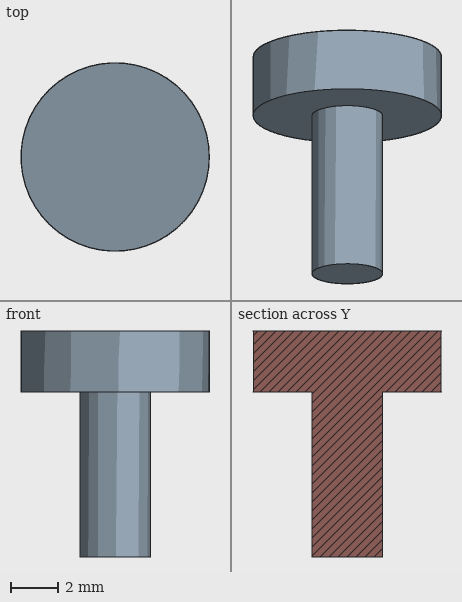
import cadquery as cq

HEAD_DIAMETER = 8.0
HEAD_HEIGHT = 2.6
SHANK_DIAMETER = 3.0
SHANK_LENGTH = 7.0


def make_shank():
    """Plain cylindrical shank standing on the XY plane."""
    return cq.Workplane("XY").circle(SHANK_DIAMETER / 2).extrude(SHANK_LENGTH)


def make_head():
    """Flat disc head sitting on top of the shank."""
    return (
        cq.Workplane("XY")
        .workplane(offset=SHANK_LENGTH)
        .circle(HEAD_DIAMETER / 2)
        .extrude(HEAD_HEIGHT)
    )


result = make_shank().union(make_head())